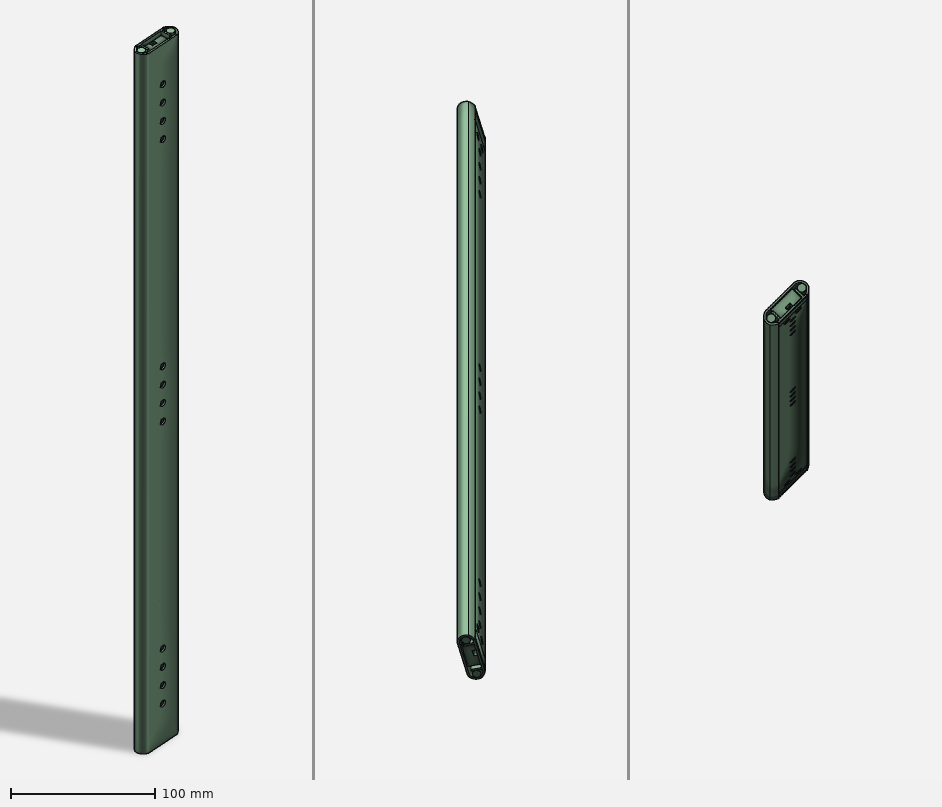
import cadquery as cq
import math


length = 610.0
thickness = 13.0
width = 39.6
sheet = 1.5
clearance = 0.1
half_length = length / 2
full_z = (-half_length, half_length)

back_x = thickness / 2
mouth_x = -thickness / 2
wall_radius = 6.6
wall_center_x = 0.0
wall_center_y = width / 2 - wall_radius
fold_x = -2.75
mouth_half_width = 14.0
lip_bulge = 0.45

face_x = mouth_x + 0.3
web_back_x = face_x + sheet
web_half_width = mouth_half_width - clearance
flange_half_width = 12.0
flange_end_x = 3.0

retainer_room = width / 2 - sheet - flange_half_width
retainer_radius = retainer_room / 2 - clearance
retainer_y = flange_half_width + retainer_room / 2

hole_diameter = 5.2
hole_pitch = 16.0
holes_per_group = 4
hole_group_offset = 246.0

stop_end_gap = 4.0
stop_height = 11.0
stop_half_width = flange_half_width - sheet
stop_back_x = back_x - sheet - clearance
slot_width = 4.5
tongue_thickness = 3.5
tongue_from_end = 28.0
peg_from_end = 24.0
peg_half_spacing = 5.5
peg_diameter = 5.8
peg_bore = 2.6


def box(x_range, y_range, z_range):
    """Axis-aligned box between the given limits, in either order."""
    (x0, x1), (y0, y1), (z0, z1) = sorted(x_range), sorted(y_range), sorted(z_range)
    return cq.Workplane("XY").box(x1 - x0, y1 - y0, z1 - z0, centered=False).translate((x0, y0, z0))


def web_cylinder(diameter, y, z):
    """Cylinder along X through the inner web's thickness."""
    return cq.Workplane("YZ", origin=(face_x, y, z)).circle(diameter / 2).extrude(sheet)


def symmetric(half_width):
    return (-half_width, half_width)


def extrude_length(outline):
    """Extrude a closed cross-section over the whole rail length."""
    return outline.extrude(length).translate((0, 0, -half_length))


def mounting_holes():
    points = []
    for group_z in (-hole_group_offset, 0, hole_group_offset):
        for i in range(holes_per_group):
            points.append((0, group_z + (i - (holes_per_group - 1) / 2) * hole_pitch))
    plane = cq.Workplane("YZ", origin=(mouth_x, 0, 0))
    return plane.pushPoints(points).circle(hole_diameter / 2).extrude(thickness)


def wall_point(x, side):
    """Point of a side wall's outer arc at the given x."""
    rise = math.sqrt(wall_radius**2 - (x - wall_center_x) ** 2)
    return (x, side * (wall_center_y + rise))


def lip_middle(side):
    """Middle point of a lip's outer arc, lifted off its chord by the bulge."""
    _, fold_y = wall_point(fold_x, 1)
    run_x = fold_x - mouth_x
    run_y = fold_y - mouth_half_width
    chord = math.hypot(run_x, run_y)
    x = (fold_x + mouth_x) / 2 - lip_bulge * run_y / chord
    y = (fold_y + mouth_half_width) / 2 + lip_bulge * run_x / chord
    return (x, side * y)


def outer_outline():
    """Outer rail's envelope, closed straight across the mouth."""
    return (
        cq.Workplane("XY")
        .moveTo(mouth_x, mouth_half_width)
        .threePointArc(lip_middle(1), wall_point(fold_x, 1))
        .threePointArc(wall_point(wall_center_x, 1), wall_point(back_x, 1))
        .lineTo(*wall_point(back_x, -1))
        .threePointArc(wall_point(wall_center_x, -1), wall_point(fold_x, -1))
        .threePointArc(lip_middle(-1), (mouth_x, -mouth_half_width))
        .close()
    )


def make_outer_rail():
    rail = extrude_length(outer_outline())
    cavity = extrude_length(outer_outline().offset2D(-sheet))
    mouth = box((mouth_x, mouth_x + 2 * sheet), symmetric(mouth_half_width), full_z)
    return rail.cut(cavity).cut(mouth).cut(mounting_holes())


def stop_pad(end):
    """Front strip of a stop, as wide as the inner web and flush with it."""
    near = half_length - stop_end_gap
    z_range = (end * near, end * (near - stop_height))
    return box((face_x, web_back_x), symmetric(web_half_width), z_range)


def stop_pegs(end, diameter):
    """Two round pegs across the inner web's thickness."""
    z = end * (half_length - peg_from_end)
    return web_cylinder(diameter, peg_half_spacing, z).union(web_cylinder(diameter, -peg_half_spacing, z))


def make_inner_rail():
    rail = box((face_x, web_back_x), symmetric(web_half_width), full_z)
    for side in (-1, 1):
        y_range = (side * flange_half_width, side * (flange_half_width - sheet))
        rail = rail.union(box((web_back_x, flange_end_x), y_range, full_z))
    rail = rail.cut(mounting_holes())
    for end in (-1, 1):
        rail = rail.cut(stop_pad(end)).cut(stop_pegs(end, peg_diameter))
    return rail


def make_retainer(side):
    return extrude_length(cq.Workplane("XY").center(0, side * retainer_y).circle(retainer_radius))


def make_end_stop(end):
    near = half_length - stop_end_gap
    block_z = (end * near, end * (near - stop_height))
    tongue_z = (end * near, end * (half_length - tongue_from_end))
    y_range = symmetric(stop_half_width)
    block = box((web_back_x, stop_back_x), y_range, block_z)
    tongue = box((web_back_x, web_back_x + tongue_thickness), y_range, tongue_z)
    slot = box((web_back_x, web_back_x + tongue_thickness), symmetric(slot_width / 2), tongue_z)
    stop = block.union(tongue).cut(slot).union(stop_pad(end)).union(stop_pegs(end, peg_diameter))
    return stop.cut(stop_pegs(end, peg_bore))


outer_rail = make_outer_rail()
inner_rail = make_inner_rail()
retainers = [make_retainer(side) for side in (-1, 1)]
end_stops = [make_end_stop(end) for end in (-1, 1)]

bodies = [outer_rail, inner_rail, *retainers, *end_stops]
result = cq.Compound.makeCompound([body.solids().val() for body in bodies])